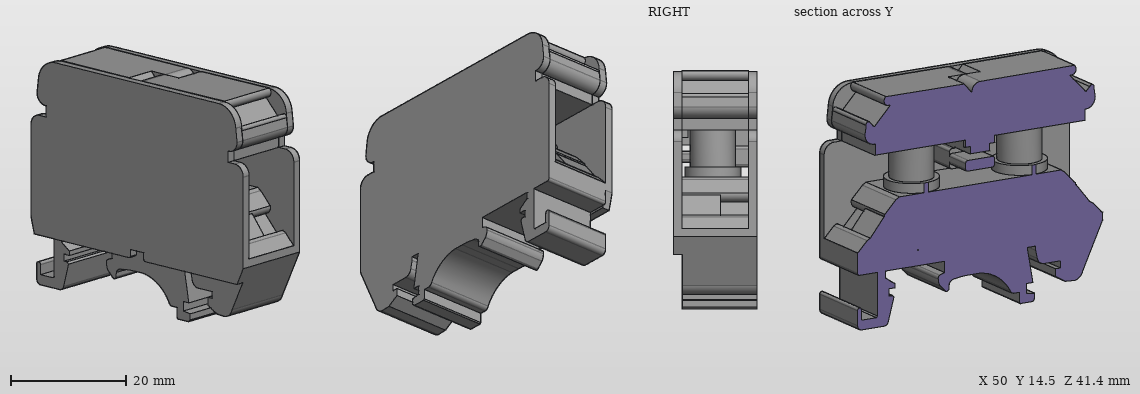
import cadquery as cq
import math

half_length = 25.0
thickness = 14.5
height = 41.42
wall = 1.5
inner_back = thickness - wall
mid_y = thickness / 2

lid_rise = 0.13
plate_top = height - lid_rise
head_half = 23.25
head_radius = 4.0
head_top_half = head_half - head_radius
head_arc_drop = 3.7
lobe_radius = 2.0
lobe_bottom = 33.1
neck_half = 21.45
lobe_overhang = 0.1
lobe_centre_x = neck_half + lobe_overhang
lobe_centre_z = lobe_bottom + lobe_radius
shoulder_z = 31.1
shoulder_radius = 2.0
bevel_z = 12.6
bevel_run_per_rise = 0.472
base_z = 9.9
cover_z = 9.47
base_corner_radius = 0.5
cover_bevel_x = 0.8
key_half_width = 1.5
key_top = 11.0
key_chamfer = 0.3

floor_z = 14.05
entry_x = 24.95
ledge_x = 23.05
ledge_z = 16.0
ledge_back_x = 22.4
ledge_back_z = 16.35
valley_x = 21.3
valley_z = 15.3
clamp_root_x = 18.2
clamp_root_z = 18.65
clamp_bulge_x = 19.2
clamp_bulge_z = 19.05
clamp_lip_x = 19.45
clamp_lip_z = 20.2
clamp_slope_x = 17.2
clamp_slope_z = 22.5
clamp_top_x = 16.5
clamp_top = 22.95
wedge_top_x = 19.6
wedge_top_z = 19.8
wedge_back_x = 17.0
wedge_width = 6.7

screw_x = 11.0
screw_y = 6.85
screw_diameter = 7.9
flange_diameter = 9.75
flange_height = 1.75

lid_inset = 0.05
lid_fall = 0.08
lid_centre_z = height - lid_fall
rim_shoulder_z = 36.8
rim_top_x = 22.9
rim_top_z = 37.4
rim_inner_x = 22.3
rim_inner_z = 37.1
groove_x = 21.55
groove_z = rim_inner_z - (rim_inner_x - groove_x)
slope_top_x = 18.35
slope_top_z = 39.7
nose_bulge_x = 19.5
nose_bulge_z = 40.2
hinge_radius = 1.7
hinge_slope_width = 1.55

latch_half = 3.0
web_half = 2.0
latch_edge_radius = 0.5
back_bar_z = (24.65, 28.3)
back_web_bottom = 26.0
front_bar_z = (25.45, 27.45)
front_web_bottom = 28.5
pad_width = 1.05
pad_bottom = 29.8

SQRT_HALF = math.sqrt(0.5)


def slab(profile, y_start, y_end):
    """Close an XZ profile and extrude it from y_start to y_end."""
    return profile.close().extrude(y_start - y_end).translate((0, y_start, 0))


def profile_at(x, z):
    return cq.Workplane("XZ").moveTo(x, z)


def block(x_range, y_range, z_range):
    sizes = [high - low for low, high in (x_range, y_range, z_range)]
    corner = (x_range[0], y_range[0], z_range[0])
    return cq.Workplane("XY").box(*sizes, centered=False).translate(corner)


def mirrored_pair(shape):
    return shape.union(shape.mirror("YZ"))


def right_bevel_x(z):
    """X of the sloping right-hand edge, shared by the housing and its foot."""
    return half_length - bevel_run_per_rise * (bevel_z - z)


def plate_outline(bottom_z, lower_left):
    """Side plate outline; lower_left lists the points of its lower left corner."""
    arc_x = head_half - head_radius * (1 - SQRT_HALF)
    arc_z = plate_top - head_radius * (1 - SQRT_HALF)
    lobe_x = lobe_centre_x + lobe_radius
    lobe_mid_x = lobe_centre_x + lobe_radius * SQRT_HALF
    lobe_mid_z = lobe_centre_z - lobe_radius * SQRT_HALF
    shoulder_x = half_length - shoulder_radius
    shoulder_mid_x = shoulder_x + shoulder_radius * SQRT_HALF
    shoulder_mid_z = shoulder_z - shoulder_radius * (1 - SQRT_HALF)
    outline = (
        profile_at(-head_top_half, plate_top)
        .lineTo(head_top_half, plate_top)
        .threePointArc((arc_x, arc_z), (head_half, plate_top - head_arc_drop))
        .lineTo(lobe_x, lobe_centre_z)
        .threePointArc((lobe_mid_x, lobe_mid_z), (lobe_centre_x, lobe_bottom))
        .lineTo(neck_half, lobe_bottom)
        .lineTo(neck_half, shoulder_z)
        .lineTo(shoulder_x, shoulder_z)
        .threePointArc((shoulder_mid_x, shoulder_mid_z), (half_length, shoulder_z - shoulder_radius))
        .lineTo(half_length, bevel_z)
        .lineTo(right_bevel_x(bottom_z), bottom_z)
    )
    for point in lower_left:
        outline = outline.lineTo(*point)
    return (
        outline.lineTo(-half_length, shoulder_z - shoulder_radius)
        .threePointArc((-shoulder_mid_x, shoulder_mid_z), (-shoulder_x, shoulder_z))
        .lineTo(-neck_half, shoulder_z)
        .lineTo(-neck_half, lobe_bottom)
        .lineTo(-lobe_centre_x, lobe_bottom)
        .threePointArc((-lobe_mid_x, lobe_mid_z), (-lobe_x, lobe_centre_z))
        .lineTo(-head_half, plate_top - head_arc_drop)
        .threePointArc((-arc_x, arc_z), (-head_top_half, plate_top))
    )


def back_plate():
    return slab(plate_outline(base_z, [(-half_length, base_z)]), inner_back, thickness)


def front_cover():
    bevel = [(-half_length + cover_bevel_x, cover_z), (-half_length, bevel_z)]
    cover = slab(plate_outline(cover_z, bevel), 0, wall)
    flare = key_half_width + key_chamfer
    key = (
        profile_at(-flare, cover_z)
        .lineTo(-key_half_width, cover_z + key_chamfer)
        .lineTo(-key_half_width, key_top)
        .lineTo(key_half_width, key_top)
        .lineTo(key_half_width, cover_z + key_chamfer)
        .lineTo(flare, cover_z)
    )
    return cover.cut(slab(key, 0, wall))


def base():
    outline = (
        profile_at(-half_length, floor_z)
        .lineTo(-half_length, base_z)
        .lineTo(right_bevel_x(base_z), base_z)
        .lineTo(half_length, bevel_z)
        .lineTo(half_length, floor_z)
    )
    return slab(outline, wall, inner_back)


def clamping_block():
    """Symmetric stepped block carrying a screw near each end."""
    left_half = (
        profile_at(0, floor_z)
        .lineTo(-entry_x, floor_z)
        .lineTo(-ledge_x, ledge_z)
        .lineTo(-ledge_back_x, ledge_back_z)
        .lineTo(-valley_x, valley_z)
        .lineTo(-clamp_root_x, clamp_root_z)
        .threePointArc((-clamp_bulge_x, clamp_bulge_z), (-clamp_lip_x, clamp_lip_z))
        .lineTo(-clamp_slope_x, clamp_slope_z)
        .lineTo(-clamp_top_x, clamp_top)
        .lineTo(0, clamp_top)
    )
    wedge = (
        profile_at(-valley_x, valley_z)
        .lineTo(-ledge_back_x, ledge_back_z)
        .lineTo(-wedge_top_x, wedge_top_z)
        .lineTo(-wedge_back_x, wedge_top_z)
        .lineTo(-wedge_back_x, valley_z)
    )
    half = slab(left_half, wall, inner_back)
    half = half.union(slab(wedge, wall, wall + wedge_width))
    return mirrored_pair(half)


def screws():
    foot = cq.Workplane("XY").workplane(offset=clamp_top).center(-screw_x, screw_y)
    screw = foot.circle(screw_diameter / 2).extrude(shoulder_z - clamp_top)
    screw = screw.union(foot.circle(flange_diameter / 2).extrude(flange_height))
    return mirrored_pair(screw)


def lids():
    """Two lids whose tops rise slightly from the centre to the ends."""
    neck_x = -neck_half + lid_inset
    lobe_x = -lobe_centre_x + lid_inset
    lobe_reach = lobe_radius * SQRT_HALF
    lobe_middle = (lobe_x - lobe_reach, lobe_centre_z - lobe_reach)
    left_half = (
        profile_at(0, shoulder_z)
        .lineTo(neck_x, shoulder_z)
        .lineTo(neck_x, lobe_bottom)
        .lineTo(lobe_x, lobe_bottom)
        .threePointArc(lobe_middle, (lobe_x - lobe_radius, lobe_centre_z))
        .lineTo(-head_half, rim_shoulder_z)
        .threePointArc((-rim_top_x, rim_top_z), (-rim_inner_x, rim_inner_z))
        .lineTo(-groove_x, groove_z)
        .lineTo(-slope_top_x, slope_top_z)
        .threePointArc((-nose_bulge_x, nose_bulge_z), (-head_top_half, height))
        .lineTo(0, lid_centre_z)
    )
    return mirrored_pair(slab(left_half, wall, inner_back))


def hinge_recess():
    """Recess on the +X side: rounded hinge knuckle facing a sloping wall."""
    arc_offset = hinge_radius * SQRT_HALF
    hinge_bottom = lid_centre_z - hinge_radius
    recess = (
        profile_at(0, lid_centre_z)
        .threePointArc((arc_offset, hinge_bottom + arc_offset), (hinge_radius, hinge_bottom))
        .lineTo(hinge_radius + hinge_slope_width, lid_centre_z)
        .lineTo(hinge_radius + hinge_slope_width, height)
        .lineTo(0, height)
    )
    return slab(recess, mid_y, inner_back)


def centre_latches():
    """Cross bars and webs below the lids, one set in each half of the thickness."""
    def bar(y_range, z_range):
        bar_block = block((-latch_half, latch_half), y_range, z_range)
        return bar_block.edges("|Y").fillet(latch_edge_radius)

    back_range = (mid_y, inner_back)
    front_range = (wall, mid_y)
    web_x = (-web_half, web_half)
    pad_x = (-latch_half, latch_half)
    latches = bar(back_range, back_bar_z)
    latches = latches.union(block(web_x, back_range, (back_web_bottom, shoulder_z)))
    latches = latches.union(bar(front_range, front_bar_z))
    latches = latches.union(block(web_x, front_range, (front_web_bottom, shoulder_z)))
    return latches.union(block(pad_x, (wall, wall + pad_width), (pad_bottom, shoulder_z)))


def left_foot():
    """Spring hook for the rail with an upturned end."""
    stem_left = -20.93
    stem_right = -19.2
    hook_floor = 1.85
    floor_chamfer = 0.25
    lip_radius = 0.45
    lip_inner = -half_length + 2 * lip_radius
    lip_top = 4.1
    heel_radius = 0.95
    heel_arc = heel_radius * (1 - SQRT_HALF)
    notch_x = -18.55
    notch_bottom = 5.35
    notch_top = 6.6
    barb_x = -17.3
    outline = (
        profile_at(stem_left, base_z)
        .lineTo(stem_left, hook_floor + floor_chamfer)
        .lineTo(stem_left - floor_chamfer, hook_floor)
        .lineTo(lip_inner, hook_floor)
        .lineTo(lip_inner, lip_top - lip_radius)
        .threePointArc((-half_length + lip_radius, lip_top), (-half_length, lip_top - lip_radius))
        .lineTo(-half_length, heel_radius)
        .threePointArc((-half_length + heel_arc, heel_arc), (-half_length + heel_radius, 0))
        .lineTo(-19.6, 0)
        .threePointArc((-19.0, 0.2), (-18.65, 0.75))
        .lineTo(-17.5, 5.0)
        .lineTo(-17.85, notch_bottom)
        .lineTo(notch_x, notch_bottom)
        .lineTo(notch_x, notch_top)
        .lineTo(barb_x, notch_top)
        .lineTo(barb_x, 7.4)
        .lineTo(stem_right, 8.7)
        .lineTo(stem_right, base_z)
    )
    return slab(outline, wall, thickness)


def middle_foot():
    """Arched foot with a small hook on each side."""
    stem_left = -7.3
    heel_left = 8.03
    heel_top = 2.05
    toe_right = 11.12
    notch_x = 9.55
    notch_top = 3.42
    arch_top = 6.7
    outline = (
        profile_at(stem_left, base_z)
        .lineTo(stem_left, 7.95)
        .lineTo(-8.3, 7.6)
        .threePointArc((-8.55, 7.3), (-8.55, 6.9))
        .threePointArc((-8.45, 6.2), (-8.15, 5.6))
        .lineTo(-7.05, 4.5)
        .threePointArc((-6.6, 4.45), (-6.3, 4.85))
        .lineTo(-6.25, 5.65)
        .threePointArc((-5.85, 6.2), (-5.0, 6.45))
        .threePointArc((-3.6, 6.65), (-2.0, arch_top))
        .lineTo(-0.2, arch_top)
        .threePointArc((3.6, 5.4), (6.1, 2.65))
        .threePointArc((6.45, 2.2), (6.95, heel_top))
        .lineTo(heel_left, heel_top)
        .lineTo(heel_left, 0.2)
        .lineTo(8.25, 0)
        .lineTo(10.75, 0)
        .lineTo(toe_right, 0.4)
        .lineTo(toe_right, 1.5)
        .lineTo(notch_x, 1.72)
        .lineTo(notch_x, notch_top)
        .lineTo(10.82, notch_top)
        .lineTo(9.67, base_z)
    )
    return slab(outline, wall, thickness)


def right_foot():
    """Fixed hook whose outer side continues the housing's sloping edge."""
    inner_x = 11.28
    slot_top = 6.5
    slot_right = 16.3
    hook_top = 5.3
    hook_x = 15.28
    tip_z = 4.1
    outline = (
        profile_at(inner_x, base_z)
        .lineTo(inner_x, 9.2)
        .lineTo(11.6, 7.7)
        .threePointArc((12.05, 6.9), (12.95, slot_top))
        .lineTo(slot_right, slot_top)
        .lineTo(slot_right, hook_top)
        .lineTo(hook_x, hook_top)
        .lineTo(hook_x, 3.9)
        .lineTo(17.4, 2.65)
        .lineTo(19.3, 2.55)
        .threePointArc((20.4, 3.1), (right_bevel_x(tip_z), tip_z))
        .lineTo(right_bevel_x(base_z), base_z)
    )
    return slab(outline, wall, thickness)


def round_base_corner(body):
    """Round the lower left edge of the housing body."""
    reach = 0.1
    near_edge = cq.selectors.BoxSelector(
        (-half_length - reach, 0, base_z - reach), (-half_length + reach, thickness, base_z + reach)
    )
    return body.edges("|Y").edges(near_edge).fillet(base_corner_radius)


housing = round_base_corner(back_plate().union(base()).clean())
for piece in (clamping_block(), screws(), lids(), centre_latches()):
    housing = housing.union(piece)
for foot in (left_foot(), middle_foot(), right_foot()):
    housing = housing.union(foot)
housing = housing.union(front_cover())

recess = hinge_recess()
opposite_recess = recess.rotate((0, mid_y, 0), (0, mid_y, 1), 180)
result = housing.cut(recess).cut(opposite_recess)